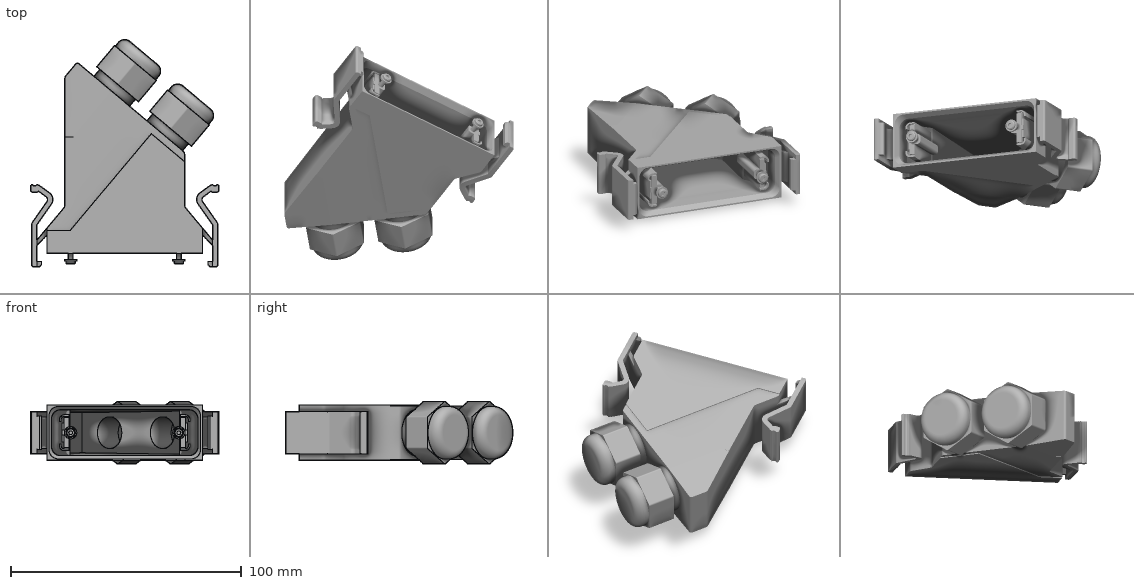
import cadquery as cq
import math


slope_angle = 50.0
base_half_width = 33.7
base_height = 11.0
body_half_width = 26.0
left_wall_top = 76.5
right_wall_top = 43.8
hood_half_depth = 11.6
tip_fillet = 1.0
wall_top_fillet = 2.0
shoulder_fillet = 2.5

panel_half_depth = 12.0
panel_base_height = 9.9
panel_start_x = -23.8
panel_margin = 4.0

taper_start_x = -22.4
taper_start_y = 50.5
taper_length = 19.3
taper_drop = 0.9

lip_half_width = 32.8
lip_half_depth = 11.3
lip_height = 2.8
cavity_half_width = 31.8
cavity_half_depth = 10.0
cavity_corner_radius = 3.9
cavity_body_half_width = 23.8
cavity_taper_start = 11.6
cavity_tip_half_depth = 8.7
shoulder_wall = 1.6
gland_wall = 1.5
tip_wall = 3.9

gland_x = (-5.6, 17.4)
neck_diameter = 20.2
neck_length = 3.9
nut_across_flats = 23.7
nut_length = 12.0
nut_edge_fillet = 0.8
dome_diameter = 22.9
dome_length = 5.6
dome_fillet = 3.6
bore_diameter = 13.8
bore_depth = 12.5

screw_x = 23.5
shaft_diameter = 2.2
washer_diameter = 5.3
washer_bottom = -3.4
washer_thickness = 0.8
head_diameter = 4.0
head_bottom = -4.6
head_chamfer = 0.4
socket_diameter = 1.8
socket_depth = 0.8
bracket_front = 1.3
bracket_back = 20.7
boss_size = 4.3
boss_fillet = 1.2
bracket_inner_x = 24.2
hook_outer_x = 28.3
hook_half_depth = 7.8
hook_wall = 0.7
hook_end_z = 4.9
hook_radius = 2.2
core_outer_x = 26.3
core_half_depth = 6.5
filler_setback = 1.0
rib_outer_x = 27.1
rib_half_depth = 4.1
rib_setback = 0.6
middle_rib_half_depth = 1.1

clip_half_depth = 9.2
clip_thickness = 2.3
clip_x = 39.3
clip_bottom = -5.8
clip_outer_fillet = 0.9
clip_elbow = (31.4, 24.0)
clip_outer_radius = 3.6
clip_inner_radius = 1.6
clip_leg_top = 12.7
clip_leg_outer_radius = 1.5
clip_arm_end = (37.9, 28.7)
clip_span = 81.8
clip_head_outer_x = clip_span / 2
clip_head_inner_x = 37.3
clip_head_bottom = 26.5
clip_head_top = 29.4
clip_ridge_height = 0.6
clip_ridge_half_width = 0.7
clip_head_fillet = 1.0
foot_inner_x = 36.1
foot_height = 2.4
foot_chamfer = 0.9
foot_half_depth = 7.2
strut_half_depth = 6.8
strut_inner_thickness = 3.2
strut_outer_thickness = 2.3
overlap = 0.5
clear_of_part = 118.4

slope = math.tan(math.radians(slope_angle))
cos_slope = math.cos(math.radians(slope_angle))
sin_slope = math.sin(math.radians(slope_angle))
gland_axis = (cos_slope, sin_slope, 0)
along_gland_face = (sin_slope, -cos_slope, 0)
body_start = base_height + (base_half_width - body_half_width) * slope


def gland_face_y(x, inset=0):
    """Y of the gland face, or of a line parallel to it lying inset below along Y."""
    return right_wall_top - inset + (body_half_width - x) / slope


def meet_gland_face(x, y, inset=0):
    """Where a line rising at the slope angle from (x, y) meets the gland face."""
    run = (gland_face_y(x, inset) - y) / (slope + 1 / slope)
    return x + run, y + run * slope


def prism(points, half_depth):
    """Outline in the XY plane, extruded equally to both sides of Z = 0."""
    return cq.Workplane("XY").polyline(points).close().extrude(half_depth, both=True)


def box(x_start, x_end, y_start, y_end, half_depth):
    return prism([(x_start, y_start), (x_end, y_start), (x_end, y_end), (x_start, y_end)], half_depth)


def upright_edge(x, y):
    """Selector for the edge along Z that passes nearest to (x, y)."""
    return cq.selectors.NearestToPointSelector((x, y, 0))


def across(y):
    """Workplane across the part at a given Y; extruding goes towards +Y."""
    return cq.Workplane(cq.Plane(origin=(0, y, 0), xDir=(1, 0, 0), normal=(0, 1, 0)))


def hood_outside():
    tip = meet_gland_face(-body_half_width, left_wall_top)
    hood = prism(
        [
            (-base_half_width, 0),
            (base_half_width, 0),
            (base_half_width, base_height),
            (body_half_width, body_start),
            (body_half_width, right_wall_top),
            tip,
            (-body_half_width, left_wall_top),
            (-body_half_width, body_start),
            (-base_half_width, base_height),
        ],
        hood_half_depth,
    )
    hood = hood.edges("|Z").edges(upright_edge(*tip)).fillet(tip_fillet)
    for x, y in ((body_half_width, right_wall_top), (-body_half_width, left_wall_top)):
        hood = hood.edges("|Z").edges(upright_edge(x, y)).fillet(wall_top_fillet)

    taper = corner_taper()
    hood = hood.cut(taper).cut(taper.mirror("XY"))
    hood = hood.union(raised_panel())
    for side in (1, -1):
        hood = round_shoulder(hood, side)
    return hood


def round_shoulder(body, side):
    """Fillet both ends of the sloping shoulder on the +X (1) or -X (-1) side."""
    for x, y in ((base_half_width, base_height), (body_half_width, body_start)):
        body = body.edges("|Z").edges(upright_edge(side * x, y)).fillet(shoulder_fillet)
    return body


def corner_taper():
    """Wedge that thins the upper left corner, hinged on a line parallel to the gland axes."""
    across_hinge = cq.Plane(
        origin=(taper_start_x, taper_start_y, hood_half_depth),
        xDir=(-sin_slope, cos_slope, 0),
        normal=gland_axis,
    )
    wedge_length = 2 * taper_length
    wedge = (
        cq.Workplane(across_hinge)
        .polyline([(0, 0), (wedge_length, -2 * taper_drop), (wedge_length, taper_drop), (0, taper_drop)])
        .close()
        .extrude(clear_of_part, both=True)
    )
    above_start = box(-clear_of_part, clear_of_part, taper_start_y, clear_of_part, clear_of_part)
    return wedge.intersect(above_start)


def raised_panel():
    return prism(
        [
            (-base_half_width, 0),
            (base_half_width, 0),
            (base_half_width, base_height),
            (body_half_width, body_start),
            (body_half_width, gland_face_y(body_half_width, panel_margin)),
            meet_gland_face(panel_start_x, panel_base_height, panel_margin),
            (panel_start_x, panel_base_height),
            (-base_half_width, panel_base_height),
        ],
        panel_half_depth,
    )


def cavity():
    gland_inset = gland_wall / sin_slope
    shoulder_start = base_height - shoulder_wall / cos_slope + (base_half_width - cavity_half_width) * slope
    body_bottom = shoulder_start + (cavity_half_width - cavity_body_half_width) * slope
    slant_start = left_wall_top + (body_half_width - cavity_body_half_width) * slope - tip_wall / cos_slope
    tip = meet_gland_face(-cavity_body_half_width, slant_start, gland_inset)
    outline = prism(
        [
            (-cavity_half_width, 0),
            (cavity_half_width, 0),
            (cavity_half_width, shoulder_start),
            (cavity_body_half_width, body_bottom),
            (cavity_body_half_width, gland_face_y(cavity_body_half_width, gland_inset)),
            tip,
            (-cavity_body_half_width, slant_start),
            (-cavity_body_half_width, body_bottom),
            (-cavity_half_width, shoulder_start),
        ],
        cavity_half_depth,
    )
    rounded_tube = (
        across(0)
        .placeSketch(rounded_rectangle(cavity_half_width, cavity_half_depth))
        .extrude(clear_of_part)
    )
    narrowing = (
        cq.Workplane("YZ")
        .polyline(
            [
                (0, -cavity_half_depth),
                (cavity_taper_start, -cavity_half_depth),
                (tip[1], -cavity_tip_half_depth),
                (tip[1], cavity_tip_half_depth),
                (cavity_taper_start, cavity_half_depth),
                (0, cavity_half_depth),
            ]
        )
        .close()
        .extrude(base_half_width, both=True)
    )
    return outline.intersect(rounded_tube).intersect(narrowing).union(lip())


def lip():
    """Flared mouth of the cavity."""
    mouth = rounded_rectangle(lip_half_width, lip_half_depth)
    throat = rounded_rectangle(cavity_half_width, cavity_half_depth)
    throat = throat.moved(cq.Location(cq.Vector(0, 0, lip_height)))
    return across(0).placeSketch(mouth, throat).loft()


def rounded_rectangle(half_width, half_depth):
    return cq.Sketch().rect(2 * half_width, 2 * half_depth).vertices().fillet(cavity_corner_radius)


def on_gland_axis(x, distance):
    """Workplane square to the gland axis through the gland face at x."""
    origin = (x + distance * cos_slope, gland_face_y(x) + distance * sin_slope, 0)
    return cq.Workplane(cq.Plane(origin=origin, xDir=along_gland_face, normal=gland_axis))


def gland(x):
    neck = on_gland_axis(x, -overlap).circle(neck_diameter / 2).extrude(neck_length + overlap)
    nut_radius = nut_across_flats / 2 / math.cos(math.pi / 6)
    corner_angles = [math.pi / 6 + k * math.pi / 3 for k in range(6)]
    nut = (
        on_gland_axis(x, neck_length)
        .polyline([(nut_radius * math.cos(a), nut_radius * math.sin(a)) for a in corner_angles])
        .close()
        .extrude(nut_length)
        .edges(cq.selectors.ParallelDirSelector(cq.Vector(*gland_axis)))
        .fillet(nut_edge_fillet)
    )
    dome = (
        on_gland_axis(x, neck_length + nut_length)
        .circle(dome_diameter / 2)
        .extrude(dome_length)
        .faces(cq.selectors.DirectionMinMaxSelector(cq.Vector(*gland_axis)))
        .edges()
        .fillet(dome_fillet)
    )
    return neck.union(nut).union(dome)


def gland_bore(x):
    return on_gland_axis(x, -2 * gland_wall).circle(bore_diameter / 2).extrude(bore_depth + 2 * gland_wall)


def hook_body(inset):
    """Rounded end of the bracket, with its outer sides moved inwards by inset."""
    outer_x = hook_outer_x - inset
    half_depth = hook_half_depth - inset
    radius = hook_radius - inset
    section_plane = cq.Plane(origin=(0, bracket_front, 0), xDir=(1, 0, 0), normal=(0, -1, 0))
    return (
        cq.Workplane(section_plane)
        .moveTo(bracket_inner_x, half_depth)
        .lineTo(outer_x - radius, half_depth)
        .radiusArc((outer_x, half_depth - radius), radius)
        .lineTo(outer_x, -half_depth + radius)
        .radiusArc((outer_x - radius, -half_depth), radius)
        .lineTo(bracket_inner_x, -half_depth)
        .close()
        .extrude(bracket_front - bracket_back)
    )


def bracket():
    between_hooks = box(bracket_inner_x, hook_outer_x, bracket_front, bracket_back, hook_end_z)
    hooks = hook_body(0).cut(hook_body(hook_wall)).cut(between_hooks)
    core = box(bracket_inner_x, core_outer_x, bracket_front, bracket_back, core_half_depth)
    filler = box(
        bracket_inner_x,
        core_outer_x,
        bracket_front + filler_setback,
        bracket_back,
        hook_half_depth - hook_wall,
    )
    rib = box(bracket_inner_x, rib_outer_x, bracket_front + rib_setback, bracket_back, rib_half_depth)
    middle_rib = box(bracket_inner_x, rib_outer_x, bracket_front, bracket_back, middle_rib_half_depth)
    boss = (
        across(bracket_front)
        .center(screw_x, 0)
        .rect(boss_size, boss_size)
        .extrude(bracket_back - bracket_front)
        .edges("|Y")
        .fillet(boss_fillet)
    )
    return hooks.union(core).union(filler).union(rib).union(middle_rib).union(boss)


def screw():
    washer_top = washer_bottom + washer_thickness
    shaft = across(washer_top).center(screw_x, 0).circle(shaft_diameter / 2)
    shaft = shaft.extrude(bracket_front + overlap - washer_top)
    washer = across(washer_bottom).center(screw_x, 0).circle(washer_diameter / 2).extrude(washer_thickness)
    head = (
        across(head_bottom)
        .center(screw_x, 0)
        .circle(head_diameter / 2)
        .extrude(washer_bottom - head_bottom)
        .faces("<Y")
        .chamfer(head_chamfer)
    )
    socket = across(head_bottom).center(screw_x, 0).polygon(6, socket_diameter).extrude(socket_depth)
    return shaft.union(washer).union(head).cut(socket)


def ribbon_sides(path, thickness):
    """Corner points on the left and right of a path, half a thickness away from it."""
    headings = [math.atan2(q[1] - p[1], q[0] - p[0]) for p, q in zip(path, path[1:])]
    left = []
    right = []
    for i, (x, y) in enumerate(path):
        heading_in = headings[max(i - 1, 0)]
        heading_out = headings[min(i, len(headings) - 1)]
        middle = (heading_in + heading_out) / 2
        reach = thickness / 2 / math.cos((heading_out - heading_in) / 2)
        side_x = -reach * math.sin(middle)
        side_y = reach * math.cos(middle)
        left.append((x + side_x, y + side_y))
        right.append((x - side_x, y - side_y))
    return left, right


def clip():
    path = [(clip_x, clip_bottom), (clip_x, clip_leg_top), clip_elbow, clip_arm_end]
    left, right = ribbon_sides(path, clip_thickness)
    spring = prism(left + right[::-1], clip_half_depth)
    rounded_corners = (
        (left[2], clip_outer_radius),
        (right[2], clip_inner_radius),
        (right[1], clip_leg_outer_radius),
        (right[0], clip_outer_fillet),
    )
    for corner, radius in rounded_corners:
        spring = spring.edges("|Z").edges(upright_edge(*corner)).fillet(radius)
    return spring.union(clip_head()).union(clip_foot()).union(strut())


def clip_head():
    """Finger grip with two ridges along its upper side."""
    grip = box(clip_head_inner_x, clip_head_outer_x, clip_head_bottom, clip_head_top, clip_half_depth)
    grip = grip.edges("|Z and <Y").fillet(clip_head_fillet)
    for x in (clip_head_inner_x + clip_ridge_half_width, clip_head_outer_x - clip_ridge_half_width):
        ridge = prism(
            [
                (x - clip_ridge_half_width, clip_head_top),
                (x + clip_ridge_half_width, clip_head_top),
                (x, clip_head_top + clip_ridge_height),
            ],
            clip_half_depth,
        )
        grip = grip.union(ridge)
    return grip


def clip_foot():
    """Catch at the lower end of the clip, pointing inwards."""
    foot = box(foot_inner_x, clip_x, clip_bottom, clip_bottom + foot_height, foot_half_depth)
    return foot.edges("|Z").edges("<X and <Y").chamfer(foot_chamfer)


def strut():
    """Web that carries on the slope of the shoulder out to the clip."""
    inner_x = base_half_width - overlap
    inner_y = base_height + overlap * slope
    outer_y = base_height - (clip_x - base_half_width) * slope
    return prism(
        [
            (inner_x, inner_y),
            (clip_x, outer_y),
            (clip_x, outer_y - strut_outer_thickness),
            (inner_x, inner_y - strut_inner_thickness),
        ],
        strut_half_depth,
    )


outside = hood_outside()
inner_bracket = bracket().intersect(outside)
result = outside.cut(cavity())
for x in gland_x:
    result = result.union(gland(x)).cut(gland_bore(x))
for side_part in (inner_bracket, screw(), clip()):
    result = result.union(side_part).union(side_part.mirror("YZ"))